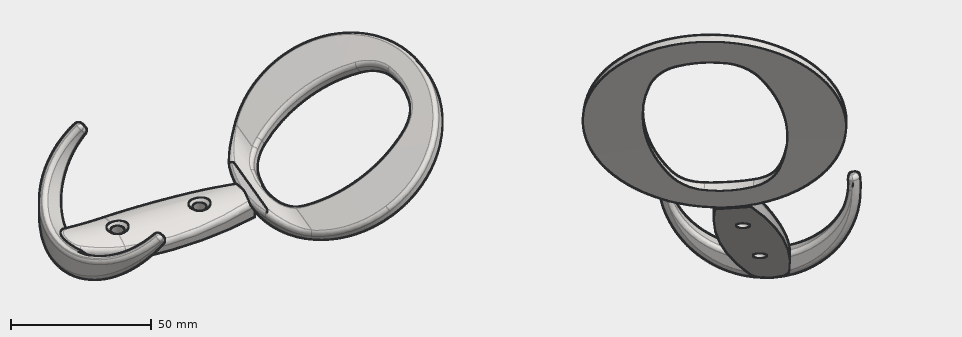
import cadquery as cq
import math


RING_TILT = 28.6
RING_FOOT_Y = 78.1
RING_HALF_WIDTH = 47.41
RING_HALF_LENGTH = 39.56
RING_THICKNESS = 4.1
RING_ARCH = 0.4
RING_END_THICKNESS = 4.9
RING_LIP_LENGTH = 4.5
RING_LIP_HEIGHT = 7.8
RING_LIP_RUN_OUT = 13.0
RING_EDGE_RADIUS = 1.6

OPENING_CENTRE_S = 38.4
OPENING_HALF_WIDTH = 25.7
OPENING_HALF_LENGTH = 30.6
OPENING_CORNER_X = 16.0
OPENING_CORNER_S = 27.4
OPENING_CORNER_RADIUS = 17.0

HANDLE_FRONT_Y = 2.6
HANDLE_SHOULDER_Y = 8.0
HANDLE_MID_Y = 42.0
HANDLE_REAR_Y = 77.0
HANDLE_HALF_WIDTH = 11.5
HANDLE_FRONT_HALF_WIDTH = 7.2
HANDLE_REAR_HALF_WIDTH = 6.6
HANDLE_HEIGHT = 7.6
HANDLE_RISE_START_Y = 25.0
HANDLE_FRONT_HEIGHT = 10.9
HANDLE_CROWN_RADIUS = 22.0
HANDLE_EDGE_RADIUS = 2.4

SCREW_HOLE_YS = (26.2, 58.3)
SCREW_HOLE_DIAMETER = 5.0
COUNTERSINK_DIAMETER = 8.0
COUNTERSINK_ANGLE = 90.0

HOOK_HALF_SPAN = 36.5
HOOK_OUTER_DEPTH = 27.0
HOOK_INNER_HALF_SPAN = 32.3
HOOK_INNER_DEPTH = 46.0
HOOK_INNER_FRONT_Y = 17.4
HOOK_INNER_SLOPE = 38.2
HOOK_FRONT_HEIGHT = 10.8
HOOK_UPPER_SLOPE = 35.6
HOOK_LOWER_SLOPE = 45.0
HOOK_HEEL_Y = 3.8
HOOK_TIP_LOWER_Y = 29.9
HOOK_TIP_UPPER_Y = 27.0
HOOK_HEEL_RADIUS = 2.8
HOOK_EDGE_RADIUS = 1.7

CUTTER_HEIGHT = 60.0
OVERLAP = 1.0


def ring_plane():
    """Plane of the ring: local x across, local y up the slope, normal away from the underside."""
    tilt = math.radians(RING_TILT)
    normal = (0, -math.sin(tilt), math.cos(tilt))
    return cq.Plane((0, RING_FOOT_Y, 0), (1, 0, 0), normal)


def make_opening():
    x = OPENING_CORNER_X
    s = OPENING_CORNER_S
    plane = ring_plane()
    return (
        cq.Workplane(plane)
        .center(0, OPENING_CENTRE_S)
        .moveTo(-x, s)
        .threePointArc((0, OPENING_HALF_LENGTH), (x, s))
        .threePointArc((OPENING_HALF_WIDTH, 0), (x, -s))
        .threePointArc((0, -OPENING_HALF_LENGTH), (-x, -s))
        .threePointArc((-OPENING_HALF_WIDTH, 0), (-x, s))
        .close()
        .extrude(2 * RING_LIP_HEIGHT)
        .edges(cq.selectors.ParallelDirSelector(plane.zDir))
        .fillet(OPENING_CORNER_RADIUS)
    )


def make_ring_side_outline():
    """Lengthwise section of the ring, as a block spanning its full width."""
    plane = ring_plane()
    side_plane = cq.Plane(plane.origin, plane.yDir, plane.xDir)
    near_end = -OVERLAP
    far_end = 2 * RING_HALF_LENGTH + OVERLAP
    mid_length = RING_HALF_LENGTH
    return (
        cq.Workplane(side_plane)
        .moveTo(near_end, 0)
        .threePointArc((mid_length, RING_ARCH), (far_end, 0))
        .lineTo(far_end, RING_END_THICKNESS)
        .threePointArc((mid_length, RING_ARCH + RING_THICKNESS), (RING_LIP_RUN_OUT, RING_THICKNESS))
        .tangentArcPoint((RING_LIP_LENGTH, RING_LIP_HEIGHT), relative=False)
        .lineTo(near_end, RING_LIP_HEIGHT)
        .close()
        .extrude(RING_HALF_WIDTH + OVERLAP, both=True)
    )


def upper_ring_edges(ring):
    """Outer and opening edges of the ring's upper side, without the ridges across it."""
    plane = ring_plane()

    def is_upper(edge):
        heights = [plane.toLocalCoords(edge.positionAt(u)).z for u in (0.01, 0.5, 0.99)]
        return min(heights) > RING_THICKNESS / 2

    return [e for e in ring.edges().vals() if is_upper(e) and e.geomType() != "LINE"]


def make_ring():
    blank = (
        cq.Workplane(ring_plane())
        .center(0, RING_HALF_LENGTH)
        .ellipse(RING_HALF_WIDTH, RING_HALF_LENGTH)
        .extrude(2 * RING_LIP_HEIGHT)
    )
    ring = blank.intersect(make_ring_side_outline()).cut(make_opening())
    return ring.newObject(upper_ring_edges(ring)).fillet(RING_EDGE_RADIUS)


def make_handle():
    blank = (
        cq.Workplane("XY")
        .moveTo(-HANDLE_FRONT_HALF_WIDTH, HANDLE_SHOULDER_Y)
        .threePointArc((0, HANDLE_FRONT_Y), (HANDLE_FRONT_HALF_WIDTH, HANDLE_SHOULDER_Y))
        .threePointArc((HANDLE_HALF_WIDTH, HANDLE_MID_Y), (HANDLE_REAR_HALF_WIDTH, HANDLE_REAR_Y))
        .lineTo(-HANDLE_REAR_HALF_WIDTH, HANDLE_REAR_Y)
        .threePointArc((-HANDLE_HALF_WIDTH, HANDLE_MID_Y), (-HANDLE_FRONT_HALF_WIDTH, HANDLE_SHOULDER_Y))
        .close()
        .extrude(HANDLE_FRONT_HEIGHT)
    )
    crown = (
        cq.Workplane("XZ", origin=(0, HANDLE_REAR_Y, 0))
        .center(0, HANDLE_HEIGHT - HANDLE_CROWN_RADIUS)
        .circle(HANDLE_CROWN_RADIUS)
    )
    path = (
        cq.Workplane("YZ")
        .moveTo(HANDLE_REAR_Y, HANDLE_HEIGHT)
        .lineTo(HANDLE_RISE_START_Y, HANDLE_HEIGHT)
        .tangentArcPoint((HANDLE_FRONT_Y, HANDLE_FRONT_HEIGHT), relative=False)
    )
    handle = blank.intersect(crown.sweep(path))
    upper_edges = handle.edges("not(|Z or <Z or >Y)").vals()
    side_edges = [e for e in upper_edges if abs(e.Center().x) > HANDLE_REAR_HALF_WIDTH / 2]
    return handle.newObject(side_edges).fillet(HANDLE_EDGE_RADIUS)


def hook_side_outline():
    """Wedge between the hook's sloping upper side and underside, seen along X."""
    up = math.tan(math.radians(HOOK_UPPER_SLOPE))
    low = math.tan(math.radians(HOOK_LOWER_SLOPE))
    return (
        cq.Workplane("YZ")
        .moveTo(0, -HOOK_HEEL_Y * low)
        .lineTo(HOOK_TIP_LOWER_Y, (HOOK_TIP_LOWER_Y - HOOK_HEEL_Y) * low)
        .lineTo(HOOK_TIP_UPPER_Y, HOOK_FRONT_HEIGHT + HOOK_TIP_UPPER_Y * up)
        .lineTo(0, HOOK_FRONT_HEIGHT)
        .close()
        .extrude(HOOK_HALF_SPAN, both=True)
    )


def ridge_and_tip_edges(hook):
    """Edges of the upper ridge, of the inner underside and of the two tips."""

    def is_tip(edge):
        return min(edge.startPoint().y, edge.positionAt(0.5).y, edge.endPoint().y) > HOOK_TIP_UPPER_Y - OVERLAP

    def is_clear_of_heel(edge):
        return edge.positionAt(0.5).z > HOOK_FRONT_HEIGHT / 2

    return [e for e in hook.edges().vals() if is_tip(e) or is_clear_of_heel(e)]


def make_hook():
    outer = (
        cq.Workplane("XY", origin=(0, HOOK_OUTER_DEPTH, -CUTTER_HEIGHT))
        .ellipse(HOOK_HALF_SPAN, HOOK_OUTER_DEPTH)
        .extrude(2 * CUTTER_HEIGHT)
    )
    lean = CUTTER_HEIGHT / math.tan(math.radians(HOOK_INNER_SLOPE))
    bore_centre_y = HOOK_INNER_FRONT_Y + HOOK_INNER_DEPTH
    bore_base = cq.Wire.makeEllipse(
        HOOK_INNER_DEPTH,
        HOOK_INNER_HALF_SPAN,
        cq.Vector(0, bore_centre_y, 0),
        cq.Vector(0, 0, 1),
        cq.Vector(0, 1, 0),
    )
    bore = cq.Solid.extrudeLinear(bore_base, [], cq.Vector(0, -lean, CUTTER_HEIGHT))
    hook = outer.intersect(hook_side_outline()).cut(cq.Workplane(bore))
    hook = hook.edges("<Z").fillet(HOOK_HEEL_RADIUS)
    return hook.newObject(ridge_and_tip_edges(hook)).fillet(HOOK_EDGE_RADIUS)


def make_screw_hole(y):
    """Cutter for one through hole whose countersink opens at the handle's top."""
    hole_radius = SCREW_HOLE_DIAMETER / 2
    sink_radius = COUNTERSINK_DIAMETER / 2
    sink_depth = (sink_radius - hole_radius) / math.tan(math.radians(COUNTERSINK_ANGLE / 2))
    return (
        cq.Workplane("XZ", origin=(0, y, 0))
        .moveTo(0, -OVERLAP)
        .lineTo(hole_radius, -OVERLAP)
        .lineTo(hole_radius, HANDLE_HEIGHT - sink_depth)
        .lineTo(sink_radius, HANDLE_HEIGHT)
        .lineTo(sink_radius, CUTTER_HEIGHT)
        .lineTo(0, CUTTER_HEIGHT)
        .close()
        .revolve(360, (0, 0, 0), (0, 1, 0))
    )


def make_below_base():
    """Block under the mounting face; it trims the undersides of the ring and hook level."""
    size = 4 * RING_HALF_WIDTH
    base_plane = cq.Workplane("XY", origin=(0, RING_FOOT_Y, 0))
    return base_plane.rect(size, size).extrude(-CUTTER_HEIGHT)


body = make_ring().union(make_handle()).union(make_hook())
result = body.cut(make_below_base())
for hole_y in SCREW_HOLE_YS:
    result = result.cut(make_screw_hole(hole_y))